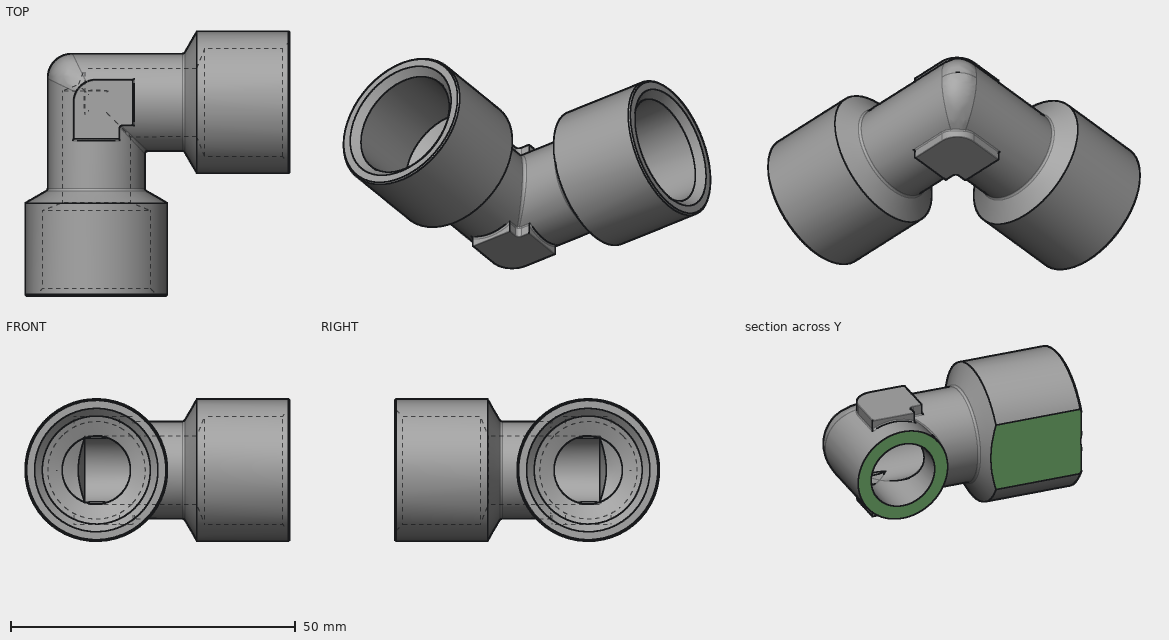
import cadquery as cq
import math

socket_radius = 12.5
overall_length = 46.5
arm_length = overall_length - socket_radius
neck_radius = 8.55

shoulder_end = 17.65
shoulder_angle = 60
shoulder_fillet = 0.5
rim_chamfer = 0.3

mouth_radius = 10.85
socket_bore_radius = 9.5
socket_bore_depth = 15.0
bore_radius = 6.0
bore_overrun = 2.05
drill_half_angle = 68

outer_corner_fillet = 4.3
inner_corner_fillet = 0.5

pad_half_width = 4.0
pad_reach = 6.4
pad_height = 9.5
pad_notch_fillet = 0.75
pad_base_fillet = 0.3
pad_edge_fillet = 0.1


def revolve_about_x(points):
    """Revolve a closed (x, radius) outline about the X axis."""
    return cq.Workplane("XY").polyline(points).close().revolve(360, (0, 0, 0), (1, 0, 0))


def with_second_arm(x_arm):
    """Join an X arm with its copy along -Y, turned over about the diagonal y = -x."""
    return x_arm.union(x_arm.rotate((0, 0, 0), (1, -1, 0), 180))


def arm():
    """Solid X arm: neck, shoulder cone and chamfered socket, mitered at 45 degrees at the origin."""
    shoulder_length = (socket_radius - neck_radius) / math.tan(math.radians(shoulder_angle))
    shoulder_start = shoulder_end - shoulder_length
    turned = revolve_about_x([
        (-neck_radius, 0),
        (-neck_radius, neck_radius),
        (shoulder_start, neck_radius),
        (shoulder_end, socket_radius),
        (arm_length - rim_chamfer, socket_radius),
        (arm_length, socket_radius - rim_chamfer),
        (arm_length, 0),
    ])
    shoulder_edge = cq.selectors.BoxSelector(
        (shoulder_start - shoulder_fillet, -socket_radius, -socket_radius),
        (shoulder_start + shoulder_fillet, socket_radius, socket_radius),
    )
    turned = turned.edges(shoulder_edge).fillet(shoulder_fillet)
    miter = (
        cq.Workplane("XY")
        .polyline([(-arm_length, arm_length), (arm_length, arm_length), (arm_length, -arm_length)])
        .close()
        .extrude(socket_radius, both=True)
    )
    return turned.intersect(miter)


def bore():
    """Stepped bore: entry chamfer, socket bore, drilled cone, narrow bore and its drill point."""
    cone_slope = math.tan(math.radians(drill_half_angle))
    socket_floor = arm_length - socket_bore_depth
    return revolve_about_x([
        (-bore_overrun - bore_radius / cone_slope, 0),
        (-bore_overrun, bore_radius),
        (socket_floor - (socket_bore_radius - bore_radius) / cone_slope, bore_radius),
        (socket_floor, socket_bore_radius),
        (arm_length - (mouth_radius - socket_bore_radius), socket_bore_radius),
        (arm_length, mouth_radius),
        (arm_length, 0),
    ])


def pads():
    """L-shaped pad with a round outer corner, running through from the lower to the upper face."""
    w = pad_half_width
    diagonal = w * math.sqrt(0.5)
    return (
        cq.Workplane("XY")
        .moveTo(-w, -pad_reach)
        .lineTo(w, -pad_reach)
        .lineTo(w, -w)
        .lineTo(pad_reach, -w)
        .lineTo(pad_reach, w)
        .lineTo(0, w)
        .threePointArc((-diagonal, diagonal), (-w, 0))
        .close()
        .extrude(pad_height, both=True)
        .edges(cq.selectors.NearestToPointSelector((w, -w, 0)))
        .fillet(pad_notch_fillet)
        .faces("|Z")
        .edges()
        .fillet(pad_edge_fillet)
    )


def box_about(x, y, z, half_x, half_y, half_z):
    """Selector for edges whose center lies in a box around a point."""
    return cq.selectors.BoxSelector(
        (x - half_x, y - half_y, z - half_z), (x + half_x, y + half_y, z + half_z))


def miter_edges(side):
    """Selector for the miter edges left outside the pads: side -1 is outer, +1 is inner."""
    middle = side * neck_radius
    half = neck_radius / 2
    return box_about(middle, -middle, 0, half, half, pad_height)


def pad_base_edges(side):
    """Selector for the edges where a pad meets the necks: side +1 is upper, -1 is lower."""
    lowest = math.sqrt(neck_radius**2 - pad_half_width**2) - pad_base_fillet
    highest = pad_height - 2 * pad_edge_fillet
    reach = pad_reach + pad_base_fillet
    return box_about(0, 0, side * (lowest + highest) / 2, reach, reach, (highest - lowest) / 2)


body = with_second_arm(arm()).union(pads())
body = body.edges(miter_edges(-1)).fillet(outer_corner_fillet)
body = body.edges(miter_edges(1)).fillet(inner_corner_fillet)
for side in (1, -1):
    body = body.edges(pad_base_edges(side)).edges("not |Z").fillet(pad_base_fillet)

result = body.cut(with_second_arm(bore()))